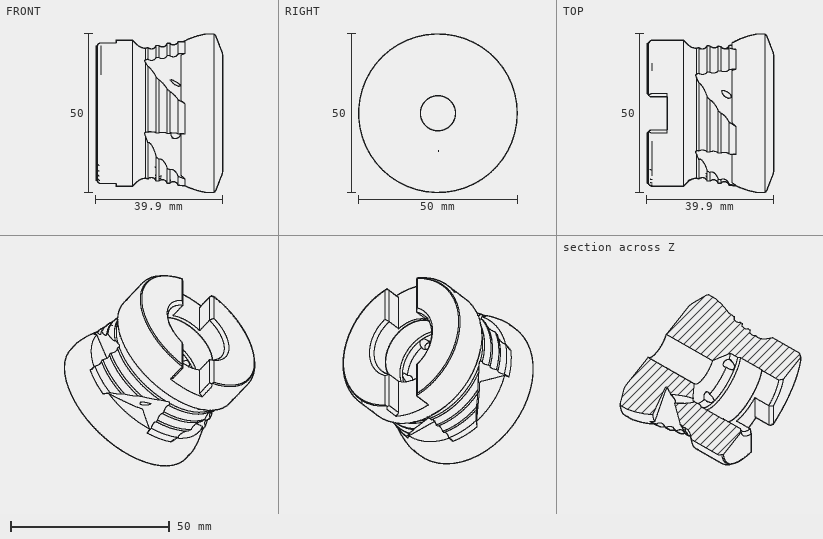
import cadquery as cq
import math

shank_diameter = 46.0
shank_radius = shank_diameter / 2
rear_radius = 22.0
rear_lip_end = 0.45
rear_lip_radius = 22.25
rear_round_middle = (0.9, 22.8)
rear_round_end = 1.5
shank_end = 11.5

neck_cone_angle = math.radians(45)
neck_cone_end = 12.9
neck_radius = 20.5
neck_cone_radius = shank_radius - (neck_cone_end - shank_end) * math.tan(neck_cone_angle)
neck_fillet = (neck_cone_radius - neck_radius) / (1 - math.cos(neck_cone_angle))
neck_fillet_end = neck_cone_end + neck_fillet * math.sin(neck_cone_angle)

groove_count = 3
first_groove_start = 16.3
first_rib_radius = 20.75
groove_pitch = 3.45
groove_width = 2.6
groove_depth = 0.45
rib_rise = 0.65
ribbed_end = 27.8
ribbed_end_radius = 22.9

head_start = 26.7
head_undercut_end = 29.0
head_undercut_radius = 12.0
head_start_radius = 22.2
head_flank_middle = (30.5, 23.95)
head_radius = 25.0
head_crown_start = 34.45
head_crown_end = 37.15
head_bevel_start = (37.65, 24.35)
head_bevel_end = (39.7, 19.15)
overall_length = 39.9
front_face_radius = 17.8

bore_radius = 11.0
bore_mouth_radius = 12.05
bore_mouth_depth = 1.05
bore_land_end = 7.5
relief_radius = 11.15
relief_end = 15.65
seat_start = 16.5
seat_radius = 10.75
cone_start = 19.2
cone_half_angle = 59.0
bolt_radius = 5.5

slot_width = 10.4
slot_depth = 6.3
slot_chamfer = 1.0

pocket_count = 5
pocket_angle = 50.0
upright_angle = 90
wall_offset = 1.0
pocket_start = 15.0
pocket_start_radius = 20.5
floor_slope = 0.79
floor_tilt = 0.22
front_floor_start = 24.5
front_floor_slope = 0.5
crease_lean = 0.072
corner_fillet = 0.6
pocket_reach = 22.5
pocket_top = 30.0
front_overrun = 2.5

coolant_diameter = 3.0
coolant_offset = 3.35
coolant_outlet = (24.65, 13.15)
coolant_slope_angle = 30.0
coolant_inner_length = 8.5
coolant_outer_length = 6.0


def revolve_about_x(profile):
    return profile.close().revolve(360, (0, 0, 0), (1, 0, 0))


def shank_body():
    half_angle = neck_cone_angle / 2
    profile = (
        cq.Workplane("XY")
        .lineTo(0, rear_radius)
        .lineTo(rear_lip_end, rear_lip_radius)
        .threePointArc(rear_round_middle, (rear_round_end, shank_radius))
        .lineTo(shank_end, shank_radius)
        .lineTo(neck_cone_end, neck_cone_radius)
        .threePointArc(
            (
                neck_fillet_end - neck_fillet * math.sin(half_angle),
                neck_radius + neck_fillet * (1 - math.cos(half_angle)),
            ),
            (neck_fillet_end, neck_radius),
        )
    )
    for i in range(groove_count):
        start = first_groove_start + i * groove_pitch
        left_radius = first_rib_radius + i * rib_rise
        profile = (
            profile.lineTo(start, left_radius)
            .threePointArc(
                (start + groove_width / 2, left_radius - groove_depth),
                (start + groove_width, left_radius + rib_rise),
            )
        )
    profile = profile.lineTo(ribbed_end, ribbed_end_radius)
    profile = profile.lineTo(head_undercut_end, ribbed_end_radius).lineTo(head_undercut_end, 0)
    return revolve_about_x(profile)


def head_body():
    profile = (
        cq.Workplane("XY")
        .moveTo(head_undercut_end, 0)
        .lineTo(head_undercut_end, head_undercut_radius)
        .lineTo(head_start, head_start_radius)
        .threePointArc(head_flank_middle, (head_crown_start, head_radius))
        .lineTo(head_crown_end, head_radius)
        .lineTo(*head_bevel_start)
        .lineTo(*head_bevel_end)
        .lineTo(overall_length, front_face_radius)
        .lineTo(overall_length, 0)
    )
    return revolve_about_x(profile)


def bore():
    cone_length = (seat_radius - bolt_radius) / math.tan(math.radians(cone_half_angle))
    profile = (
        cq.Workplane("XY")
        .lineTo(0, bore_mouth_radius)
        .lineTo(bore_mouth_depth, bore_radius)
        .lineTo(bore_land_end, bore_radius)
        .lineTo(bore_land_end, relief_radius)
        .lineTo(relief_end, relief_radius)
        .lineTo(seat_start, seat_radius)
        .lineTo(cone_start, seat_radius)
        .lineTo(cone_start + cone_length, bolt_radius)
        .lineTo(overall_length, bolt_radius)
        .lineTo(overall_length, 0)
    )
    return revolve_about_x(profile)


def drive_slot():
    half = slot_width / 2
    mouth = half + slot_chamfer
    length = 2 * head_radius
    slot = (
        cq.Workplane("XY")
        .polyline([
            (0, -mouth), (slot_chamfer, -half), (slot_depth, -half),
            (slot_depth, half), (slot_chamfer, half), (0, mouth),
        ])
        .close()
        .extrude(length / 2, both=True)
    )
    edge_height = math.sqrt(shank_radius**2 - mouth**2)
    flare = head_radius - edge_height
    for side in (1, -1):
        slot = slot.union(
            cq.Workplane("YZ")
            .polyline([
                (-half, side * (edge_height - slot_chamfer)),
                (half, side * (edge_height - slot_chamfer)),
                (mouth + flare, side * head_radius),
                (-mouth - flare, side * head_radius),
            ])
            .close()
            .extrude(slot_depth)
        )
    return slot


def behind_undercut(tool):
    """Trim a cutting tool to the part of it that lies behind the deepest point of the undercut."""
    width = 4 * head_radius
    limit = cq.Workplane("XY").box(head_undercut_end, width, width, centered=(False, True, True))
    return tool.intersect(limit)


def pocket():
    """Wedge with one flat wall and a floor made of two planes.

    The wall stands along +Z, facing -Y, and the floors face +Z.
    """
    front_floor_z = pocket_start_radius - floor_slope * (front_floor_start - pocket_start)
    rear_x = pocket_start - (pocket_top - pocket_start_radius) / floor_slope
    front_x = head_undercut_end + front_overrun
    front_z = front_floor_z - front_floor_slope * (front_x - front_floor_start)
    corners = [
        (rear_x, pocket_top),
        (front_floor_start, front_floor_z),
        (front_x, front_z),
        (front_x, pocket_top),
    ]
    wall = cq.Wire.makePolygon([cq.Vector(x, -wall_offset, z) for x, z in corners], close=True)

    crease = cq.Vector(crease_lean, -1, floor_tilt - floor_slope * crease_lean)
    wedge = cq.Workplane(obj=cq.Solid.extrudeLinear(wall, [], crease * pocket_reach))
    wedge = wedge.faces(">Y").edges("not (|X or |Z)").fillet(corner_fillet)
    return behind_undercut(wedge)


def coolant_hole():
    """Hole from the bolt seat, rising forwards to the pocket floor beside its wall."""
    angle = math.radians(coolant_slope_angle)
    direction = cq.Vector(math.cos(angle), 0, math.sin(angle))
    outlet = cq.Vector(coolant_outlet[0], -coolant_offset, coolant_outlet[1])
    start = outlet - direction * coolant_inner_length
    length = coolant_inner_length + coolant_outer_length
    hole = cq.Solid.makeCylinder(coolant_diameter / 2, length, start, direction)
    return behind_undercut(cq.Workplane(obj=hole))


shank = shank_body()
pocket_tool = pocket().union(coolant_hole())
for i in range(pocket_count):
    turn = pocket_angle - upright_angle + i * 360 / pocket_count
    shank = shank.cut(pocket_tool.rotate((0, 0, 0), (1, 0, 0), turn))

result = shank.union(head_body()).cut(bore()).cut(drive_slot())